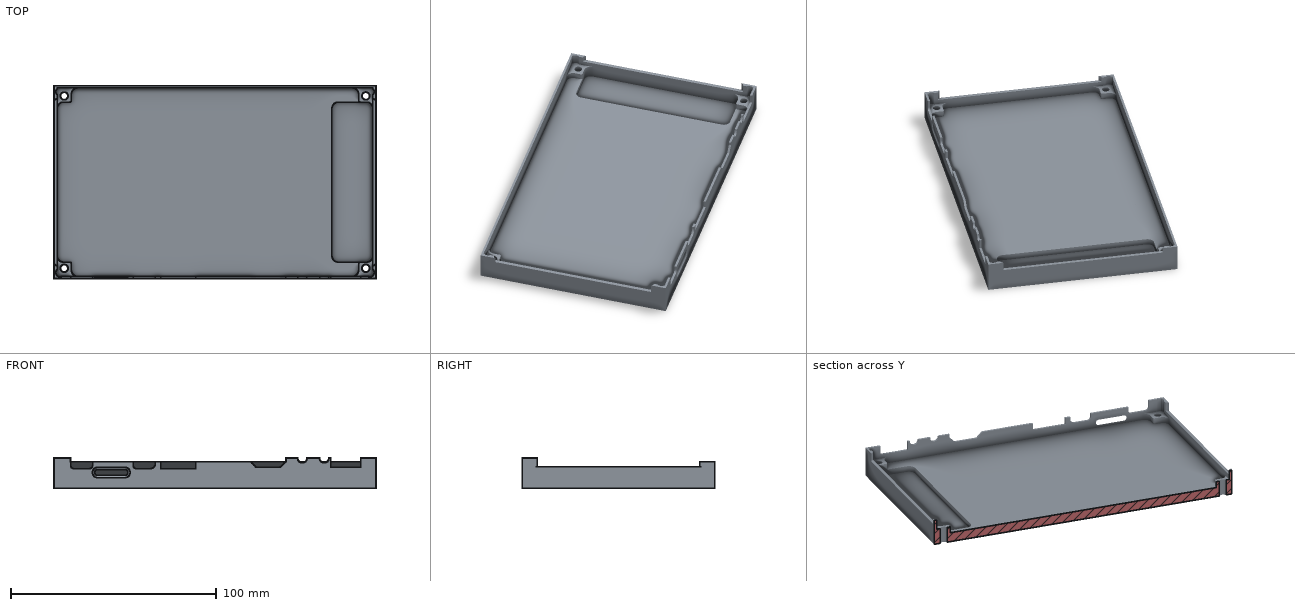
import cadquery as cq
import math

length = 156.9
width = 94.0
front_height = 14.7
rear_height = 13.0
side_height = 10.5
clearance = 1.5
pick_margin = 0.2

end_wall = 1.5
long_wall = 1.1
boss_top = 8.2
floor_top = 5.0
recess_floor = 2.0

boss_x = 8.5
boss_y = 8.0
boss_edge_radius = 0.8
hole_inset = 5.0
hole_diameter = 3.6
relief_inset = 3.0
relief_radius = 2.0

pocket_radius = 3.1
recess_start = 135.4

opening_inset = 6.3
opening_radius = 2.0
opening_overrun = 0.2

left_tab_end = 8.2
raised_start = 113.0
raised_end = 135.0
right_tab_start = 149.4
deep_floor = 9.5
shallow_floor = 10.2
square_notches = (
    (left_tab_end, raised_start, rear_height, 0, 0),
    (left_tab_end, 18.8, deep_floor, 1.5, 1.5),
    (38.6, 49.4, deep_floor, 1.5, 2.5),
    (52.0, 69.2, deep_floor, 0, 0),
    (raised_end, right_tab_start, shallow_floor, 0, 0),
)

sloped_notch_start = 95.7
slope_radius = 0.6
groove_radius = 2.2
groove_drop = 0.2
groove_centers = (121.0, 131.6)

slot_center_x = 28.0
slot_center_z = 7.7
slot_length = 18.4
slot_height = 5.0
flare_inset = 1.1
flare_depth = 1.0


def block(x0, x1, y0, y1, z0, z1):
    return cq.Workplane("XY").box(x1 - x0, y1 - y0, z1 - z0, centered=False).translate((x0, y0, z0))


def centered_block(inset_x, inset_y, z0, z1):
    """Block inset equally from opposite sides of the tray."""
    return block(inset_x, length - inset_x, inset_y, width - inset_y, z0, z1)


def corner_cylinders(inset, radius, z0, z1):
    """Four upright cylinders, one near each corner of the tray."""
    return (
        cq.Workplane("XY", origin=(length / 2, width / 2, z0))
        .rect(length - 2 * inset, width - 2 * inset, forConstruction=True)
        .vertices()
        .circle(radius)
        .extrude(z1 - z0)
    )


def front_wall_cutter(outline):
    """Extrude an XZ outline drawn on the front face through the front wall."""
    return outline.extrude(-long_wall)


def make_cavity():
    """Space above the bosses plus the cross-shaped floor pocket and the deeper recess."""
    lengthwise = centered_block(end_wall, boss_y, floor_top, front_height)
    crosswise = centered_block(boss_x, long_wall, floor_top, front_height)
    recess = block(recess_start, length - end_wall, boss_y, width - boss_y, recess_floor, front_height)
    lengthwise = lengthwise.edges("|Z").fillet(pocket_radius)
    crosswise = crosswise.edges("|Z").fillet(pocket_radius)
    recess = recess.edges("|Z").fillet(pocket_radius)

    cross = lengthwise.union(crosswise)
    for x in (boss_x, length - boss_x):
        for y in (boss_y, width - boss_y):
            nearby = cq.selectors.BoxSelector(
                (x - pick_margin, y - pick_margin, 0), (x + pick_margin, y + pick_margin, front_height)
            )
            cross = cross.edges("|Z").edges(nearby).fillet(boss_edge_radius)

    above_bosses = centered_block(end_wall, long_wall, boss_top, front_height)
    return cross.union(recess).union(above_bosses)


def make_end_openings():
    opening = centered_block(-opening_overrun, opening_inset, side_height, front_height)
    return opening.edges("|Z").fillet(opening_radius)


def make_square_notch(start, end, floor, left_radius, right_radius):
    notch = block(start, end, -clearance, long_wall, floor, front_height)
    if left_radius:
        notch = notch.edges("|Y and <Z and <X").fillet(left_radius)
    if right_radius:
        notch = notch.edges("|Y and <Z and >X").fillet(right_radius)
    return notch


def make_sloped_notch():
    """Trapezoidal notch whose ends blend into the floor and the rim."""
    run = rear_height - shallow_floor
    rim_start = sloped_notch_start - clearance
    outline = (
        cq.Workplane("XZ")
        .moveTo(rim_start, front_height)
        .lineTo(rim_start, rear_height)
        .lineTo(sloped_notch_start, rear_height)
        .lineTo(sloped_notch_start + run, shallow_floor)
        .lineTo(raised_start - run, shallow_floor)
        .lineTo(raised_start, rear_height)
        .lineTo(raised_start, front_height)
        .close()
    )
    bends = cq.selectors.BoxSelector(
        (sloped_notch_start - pick_margin, 0, 0), (length, width, rear_height + pick_margin)
    )
    return front_wall_cutter(outline).edges("|Y").edges(bends).fillet(slope_radius)


def make_groove(x):
    center = (x, 0, front_height - groove_drop)
    return front_wall_cutter(cq.Workplane("XZ", origin=center).circle(groove_radius))


def make_connector_slot():
    mouth = cq.Workplane("XZ", origin=(slot_center_x, 0, slot_center_z))
    flare_angle = math.degrees(math.atan2(flare_inset, flare_depth))
    flare = mouth.slot2D(slot_length, slot_height).extrude(-flare_depth, taper=flare_angle)
    throat = mouth.slot2D(slot_length - 2 * flare_inset, slot_height - 2 * flare_inset).extrude(-long_wall)
    return flare.union(throat)


result = centered_block(0, 0, 0, front_height).cut(make_cavity())
result = result.cut(corner_cylinders(relief_inset, relief_radius, boss_top, front_height))
result = result.cut(corner_cylinders(hole_inset, hole_diameter / 2, 0, boss_top))

result = result.cut(block(0, length, width / 2, width, rear_height, front_height))
result = result.cut(make_end_openings())

for notch in square_notches:
    result = result.cut(make_square_notch(*notch))
result = result.cut(make_sloped_notch())
for groove_x in groove_centers:
    result = result.cut(make_groove(groove_x))
result = result.cut(make_connector_slot())